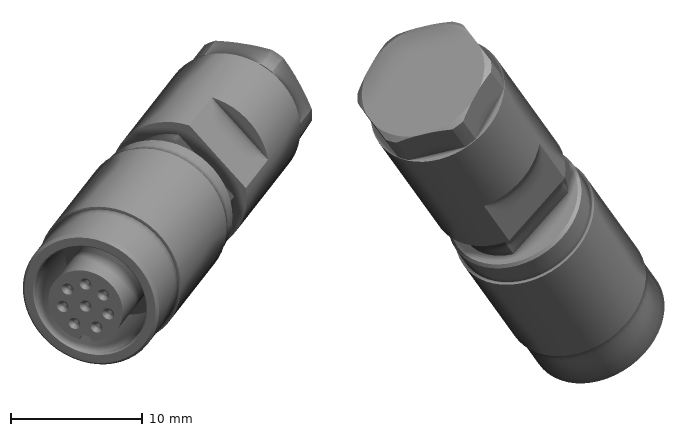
import cadquery as cq
import math


shell_front = 1.0
sleeve_front = 5.5
sleeve_back = 15.8
shell_back = 18.0
neck_back = 21.0
body_back = 33.12
nut_front = 33.23
total_length = 36.0

shell_dia = 11.0
sleeve_dia = 11.5
neck_dia = 9.0
gap_dia = 9.58
shell_chamfer = 0.2

flat_angle = 45.0
body_flat_width = 8.93
body_flat_length = 5.0
neck_flat_width = neck_dia * math.cos(math.pi / 4)

nut_sides = 6
nut_across_flats = 10.0
nut_chamfer_radial = 0.45
nut_chamfer_axial = 0.25

bore_dia = neck_dia
bore_chamfer = 0.1
bore_floor = 7.92
insert_dia = 6.0
key_radius = 0.5

ring_contacts = 7
contact_pitch_angle = 50.5
contact_ring_radius = 1.87
contact_bore_dia = 0.5
contact_mouth_dia = 0.95
contact_mouth_depth = (contact_mouth_dia - contact_bore_dia) / 2
contact_depth = 2.88


def along_y(start):
    """Workplane at y = start, drawn in X and Z; its normal is -Y."""
    return cq.Workplane("XZ", origin=(0, start, 0))


def rod(diameter, start, end):
    """Cylinder on the part's axis between two stations."""
    return along_y(start).circle(diameter / 2).extrude(start - end)


def cone(front_dia, back_dia, start, end):
    """Truncated cone on the part's axis between two stations."""
    profile = [(0, start), (front_dia / 2, start), (back_dia / 2, end), (0, end)]
    return cq.Workplane("XY").polyline(profile).close().revolve(360, (0, 0), (0, 1))


def flat_slab(width, start, end):
    """Slab whose two faces are a pair of wrench flats."""
    slab = along_y(start).rect(width, 2 * sleeve_dia).extrude(start - end)
    return slab.rotate((0, 0, 0), (0, 1, 0), -flat_angle)


def make_shell():
    shell = rod(shell_dia, shell_front, shell_back).faces("<Y or >Y").chamfer(shell_chamfer)
    sleeve = rod(sleeve_dia, sleeve_front, sleeve_back)
    bore = rod(bore_dia, shell_front, bore_floor)
    bore_mouth = cone(bore_dia + 2 * bore_chamfer, bore_dia, shell_front, shell_front + bore_chamfer)
    return shell.union(sleeve).cut(bore).cut(bore_mouth)


def contact_positions():
    """X and Z of every contact; the ring is centred on the top of the insert."""
    positions = [(0, 0)]
    for index in range(ring_contacts):
        from_top = math.radians((index - (ring_contacts - 1) / 2) * contact_pitch_angle)
        positions.append((contact_ring_radius * math.sin(from_top), contact_ring_radius * math.cos(from_top)))
    return positions


def make_insert():
    insert = rod(insert_dia, 0, bore_floor)
    keyway = rod(2 * key_radius, 0, bore_floor).translate((0, 0, -insert_dia / 2))
    insert = insert.cut(keyway)
    contact_hole = rod(contact_bore_dia, 0, contact_depth)
    contact_hole = contact_hole.union(cone(contact_mouth_dia, contact_bore_dia, 0, contact_mouth_depth))
    for x, z in contact_positions():
        insert = insert.cut(contact_hole.translate((x, 0, z)))
    return insert


def make_neck():
    neck = rod(neck_dia, shell_back, neck_back)
    return neck.intersect(flat_slab(neck_flat_width, shell_back, neck_back))


def make_body():
    flat_end = neck_back + body_flat_length
    flatted = rod(shell_dia, neck_back, flat_end)
    flatted = flatted.intersect(flat_slab(body_flat_width, neck_back, flat_end))
    barrel = rod(shell_dia, flat_end, body_back)
    gap_core = rod(gap_dia, body_back, nut_front)
    return flatted.union(barrel).union(gap_core)


def make_nut():
    across_corners = nut_across_flats / math.cos(math.pi / nut_sides)
    prism = along_y(nut_front).polygon(nut_sides, across_corners).extrude(nut_front - total_length)
    chamfer_start = total_length - nut_chamfer_axial
    tip_dia = shell_dia - 2 * nut_chamfer_radial
    turned = rod(shell_dia, nut_front, chamfer_start)
    turned = turned.union(cone(shell_dia, tip_dia, chamfer_start, total_length))
    return prism.intersect(turned)


result = make_shell().union(make_insert()).union(make_neck()).union(make_body()).union(make_nut())